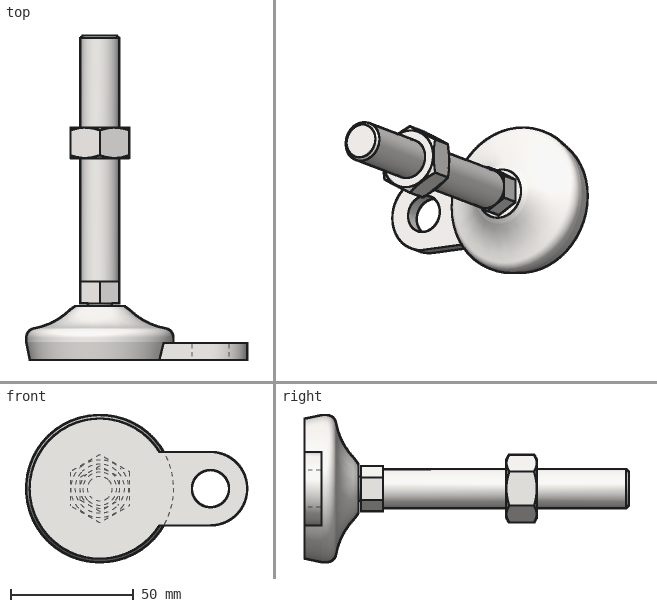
import cadquery as cq
import math

HALF_SECTOR = 30.0

pad_radius = 30.0
pad_face_radius = 28.5
taper_height = 7.2
rim_height = 9.0
shoulder_radius = 4.0
collar_radius = 12.2
collar_height = 20.4
pad_top_radius = 10.0
pad_height = 22.0
flank_start_slope = 10.0

lug_reach = 45.0
lug_radius = 15.0
lug_hole_diameter = 15.0
lug_thickness = 7.0

rod_diameter = 16.0
rod_chamfer = 1.2
total_length = 132.0
neck_diameter = 10.0
wrench_flats = 16.0
wrench_start = 23.0
wrench_end = 32.0

nut_flats = 24.0
nut_start = 82.0
nut_height = 12.6
nut_face_diameter = 23.5
nut_chamfer_angle = 30.0


def bar_along_y(outline, start, length):
    """Extrude a sketch on the XZ plane from Y = start towards +Y."""
    return outline.extrude(-length).translate((0, start, 0))


def cylinder(diameter, start, end):
    return bar_along_y(cq.Workplane("XZ").circle(diameter / 2), start, end - start)


def hexagon(flats, start, height):
    """Hexagonal prism along Y with its corners pointing up and down."""
    corner_diameter = flats / math.cos(math.radians(HALF_SECTOR))
    outline = cq.Workplane("XZ").transformed(rotate=(0, 0, HALF_SECTOR)).polygon(6, corner_diameter)
    return bar_along_y(outline, start, height)


def make_pad():
    flank_slope = math.radians(flank_start_slope)
    shoulder_centre_radius = pad_radius - shoulder_radius
    flank_start = (
        shoulder_centre_radius + shoulder_radius * math.sin(flank_slope),
        rim_height + shoulder_radius * math.cos(flank_slope),
    )
    return (
        cq.Workplane("XY")
        .lineTo(pad_face_radius, 0)
        .lineTo(pad_radius, taper_height)
        .lineTo(pad_radius, rim_height)
        .tangentArcPoint(flank_start, relative=False)
        .tangentArcPoint((collar_radius, collar_height), relative=False)
        .lineTo(pad_top_radius, pad_height)
        .lineTo(0, pad_height)
        .close()
        .revolve(360, (0, 0, 0), (0, 1, 0))
    )


def make_lug():
    strip = cq.Workplane("XZ").center(lug_reach / 2, 0).rect(lug_reach, 2 * lug_radius)
    eye = cq.Workplane("XZ").center(lug_reach, 0).circle(lug_radius)
    hole = cq.Workplane("XZ").center(lug_reach, 0).circle(lug_hole_diameter / 2)
    lug = bar_along_y(strip, 0, lug_thickness).union(bar_along_y(eye, 0, lug_thickness))
    return lug.cut(bar_along_y(hole, 0, lug_thickness))


def make_rod():
    neck = cylinder(neck_diameter, pad_height, wrench_start)
    wrench_hexagon = hexagon(wrench_flats, wrench_start, wrench_end - wrench_start)
    shank = cylinder(rod_diameter, wrench_end, total_length).faces(">Y").chamfer(rod_chamfer)
    return neck.union(wrench_hexagon).union(shank)


def make_nut():
    """Hexagon whose corners are trimmed at both ends by a cone."""
    face_radius = nut_face_diameter / 2
    corner_radius = nut_flats / 2 / math.cos(math.radians(HALF_SECTOR))
    cone_depth = (corner_radius - face_radius) * math.tan(math.radians(nut_chamfer_angle))
    nut_end = nut_start + nut_height
    envelope = (
        cq.Workplane("XY")
        .moveTo(0, nut_start)
        .lineTo(face_radius, nut_start)
        .lineTo(corner_radius, nut_start + cone_depth)
        .lineTo(corner_radius, nut_end - cone_depth)
        .lineTo(face_radius, nut_end)
        .lineTo(0, nut_end)
        .close()
        .revolve(360, (0, 0, 0), (0, 1, 0))
    )
    return hexagon(nut_flats, nut_start, nut_height).intersect(envelope)


result = make_pad().union(make_lug()).union(make_rod()).union(make_nut())